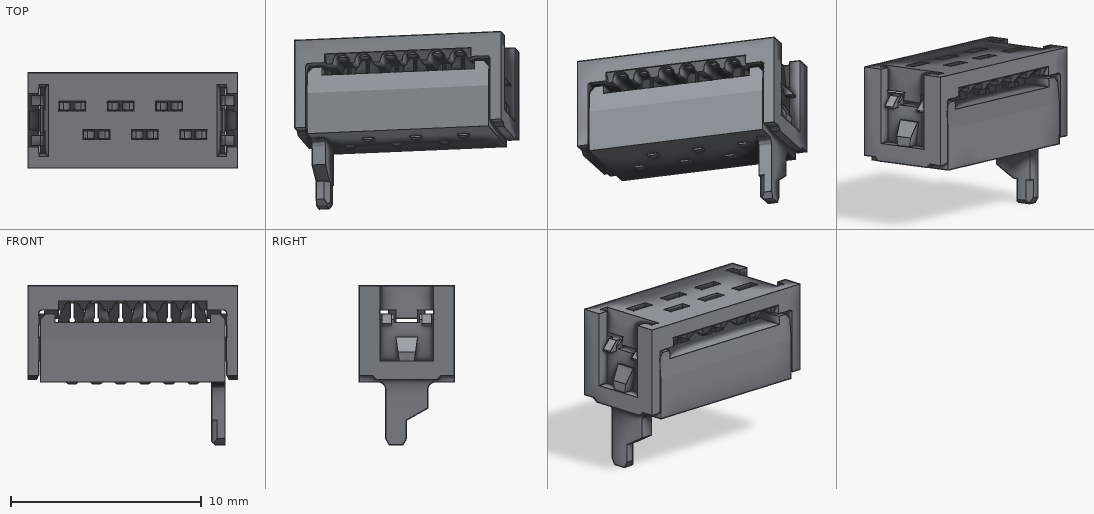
import cadquery as cq
import math


length = 11.0
width = 5.0
top_z = 5.05
peg_bottom_z = -3.3
half_length = length / 2
half_width = width / 2

pitch = 1.27
contact_count = 6
row_y = 0.75
contact_thickness = 0.39
contact_half_thickness = contact_thickness / 2

leg_inner_x = 4.915
leg_bottom_z = 0.14
leg_shoulder_z = 0.34
leg_tongue_half_width = 1.6
leg_chamfer_x = 0.13
leg_chamfer_z = 0.26
ceiling_z = 3.775
ceiling_corner_radius = 0.17
window_half_width = 1.41
window_bottom_z = 1.09
end_tongue_bottom_z = 3.34
end_tongue_half_width = 0.555
recess_half_length = 3.9
recess_top_z = 4.25
recess_ledge = 0.08
recess_slope_run = 0.275
end_slot_top_x = 4.415
end_slot_top_half_width = 1.89
end_slot_inner_x = 4.605
end_slot_inner_half_width = 1.72
contact_slot_length = 1.4
contact_slot_width = 0.52
groove_radius = 0.445
groove_lip_radius = 0.14
groove_shift = 0.1
groove_inner_top_z = 4.146
groove_inner_half_length = 1.9

base_half_length = 4.84
base_bend_z = 2.17
post_top_z = 3.57
post_top_half_width = 2.37
post_inner_x = 4.07
post_gap_half_width = 0.66
post_chamfer_x = 0.28
post_chamfer_z = 0.265
base_top_z = 3.13

guide_tip_x = 5.3
guide_root_x = 4.4
guide_near_y = 0.79
guide_far_y = 1.31
guide_bottom_z = 2.99
guide_nose_z = 3.067
catch_tip_x = 5.4
catch_ledge_x = 4.94
catch_top_z = 2.36
catch_nose_z = 1.57
catch_top_half_width = 0.57
catch_bottom_half_width = 0.39

blade_foot_half = 0.74
blade_waist_half = 0.575
blade_shoulder_half = 0.67
blade_shoulder_z = 4.69
blade_ridge_x = 0.46
blade_ridge_z = 4.78
blade_throat_z = 4.3
wire_slot_width = 0.19
wire_hole_radius = 0.17
wire_hole_z = 3.25
lead_in_bulge = 0.08
shoulder_bulge = 0.025
tail_root_half = 0.31
tail_tip_half = 0.2
tail_length = 0.1

peg_inner_x = 4.13
peg_half_width = 1.105
peg_root_radius = 0.4
peg_slope_start_z = -1.37
pin_top_z = -2.0
pin_inner_y = -0.015
pin_tip_inset = 0.19
pin_tip_height = 0.33
pin_edge_x = 0.29
pin_edge_y = 0.26
pin_tip_chamfer = 0.2


def box(x0, x1, y0, y1, z0, z1):
    return cq.Workplane("XY").box(x1 - x0, y1 - y0, z1 - z0, centered=False).translate((x0, y0, z0))


def extrude_y(points, y0, y1):
    """Closed XZ outline extruded from y0 to y1."""
    outline = cq.Workplane("XZ", origin=(0, y0, 0)).polyline(points).close()
    return outline.extrude(y0 - y1)


def extrude_x(points, x0, x1):
    """Closed YZ outline extruded from x0 to x1."""
    outline = cq.Workplane("YZ", origin=(x0, 0, 0)).polyline(points).close()
    return outline.extrude(x1 - x0)


def both_ends(feature):
    """The feature together with its mirror image on the other end of the connector."""
    return feature.union(feature.mirror("YZ"))


def both_sides(feature):
    """The feature together with its mirror image on the other long side."""
    return feature.union(feature.mirror("XZ"))


def contact_x(index):
    return (index - (contact_count - 1) / 2) * pitch


def contact_y(index):
    """Contacts alternate between the rear and the front row."""
    return row_y if index % 2 == 0 else -row_y


def cover_opening():
    """Space between the end legs, with rounded upper corners."""
    opening = box(-leg_inner_x, leg_inner_x, -half_width, half_width, 0, ceiling_z)
    opening = opening.edges("|Y and >Z").fillet(ceiling_corner_radius)
    chamfer = extrude_y(
        [
            (leg_inner_x, leg_bottom_z + leg_chamfer_z),
            (leg_inner_x, leg_bottom_z),
            (leg_inner_x + leg_chamfer_x, leg_bottom_z),
        ],
        -half_width,
        half_width,
    )
    return opening.union(both_ends(chamfer))


def slot_outline(inner_x, half_y):
    """Corners of an end slot between the -X leg and the given inner wall."""
    return [(-leg_inner_x, -half_y), (-inner_x, -half_y), (-inner_x, half_y), (-leg_inner_x, half_y)]


def end_slot():
    """Slot beside the -X leg; its inner and end walls lean in towards the bottom."""
    taper = (top_z - end_tongue_bottom_z) / (top_z - ceiling_z)
    bottom_x = end_slot_top_x + taper * (end_slot_inner_x - end_slot_top_x)
    end_lean = end_slot_top_half_width - end_slot_inner_half_width
    bottom_half_width = end_slot_top_half_width - taper * end_lean

    slot_height = top_z - end_tongue_bottom_z
    lower = cq.Workplane("XY", origin=(0, 0, end_tongue_bottom_z)).polyline(
        slot_outline(bottom_x, bottom_half_width)
    ).close()
    upper = lower.workplane(offset=slot_height).polyline(
        slot_outline(end_slot_top_x, end_slot_top_half_width)
    ).close()
    return upper.loft(ruled=True)


def wire_groove(index):
    """Groove along Y in the cover ceiling, with rounded lips and a lower roof in the middle."""
    shift = 0 if index % 2 == 0 else -groove_shift
    centre_x = contact_x(index) + shift
    centre_z = recess_top_z - groove_radius
    lip_z = ceiling_z + groove_lip_radius
    angle = math.asin((lip_z - centre_z) / (groove_radius + groove_lip_radius))
    lip_x = (groove_radius + groove_lip_radius) * math.cos(angle)
    join_x = groove_radius * math.cos(angle)
    join_z = centre_z + groove_radius * math.sin(angle)
    mid_angle = math.pi + (angle + math.pi / 2) / 2
    mid_x = lip_x + groove_lip_radius * math.cos(mid_angle)
    mid_z = lip_z + groove_lip_radius * math.sin(mid_angle)
    groove = (
        cq.Workplane("XZ", origin=(centre_x, half_width, 0))
        .moveTo(-lip_x, ceiling_z)
        .threePointArc((-mid_x, mid_z), (-join_x, join_z))
        .threePointArc((0, recess_top_z), (join_x, join_z))
        .threePointArc((mid_x, mid_z), (lip_x, ceiling_z))
        .close()
        .extrude(width)
    )
    roof = box(
        centre_x - groove_radius,
        centre_x + groove_radius,
        -groove_inner_half_length,
        groove_inner_half_length,
        groove_inner_top_z,
        top_z,
    )
    return groove.cut(roof)


def make_cover():
    cover = box(-half_length, half_length, -half_width, half_width, leg_bottom_z, top_z)
    cover = cover.cut(cover_opening())

    tongue = box(
        -leg_inner_x,
        -recess_half_length,
        -end_tongue_half_width,
        end_tongue_half_width,
        end_tongue_bottom_z,
        ceiling_z,
    )
    cover = cover.union(both_ends(tongue)).cut(both_ends(end_slot()))

    window = box(-half_length, -leg_inner_x, -window_half_width, window_half_width, window_bottom_z, top_z)
    cover = cover.cut(both_ends(window))

    leg_corner = extrude_x(
        [
            (half_width, leg_bottom_z),
            (leg_tongue_half_width, leg_bottom_z),
            (leg_tongue_half_width + leg_shoulder_z - leg_bottom_z, leg_shoulder_z),
            (half_width, leg_shoulder_z),
        ],
        -half_length,
        half_length,
    )
    cover = cover.cut(both_sides(leg_corner))

    recess = extrude_x(
        [
            (half_width, ceiling_z),
            (half_width - recess_ledge - recess_slope_run, ceiling_z),
            (half_width - recess_ledge, recess_top_z),
            (half_width, recess_top_z),
        ],
        -recess_half_length,
        recess_half_length,
    )
    cover = cover.cut(both_sides(recess))

    slot = cq.Workplane("XY").box(
        contact_slot_length, contact_slot_width, top_z, centered=(True, True, False)
    )
    for index in range(contact_count):
        cover = cover.cut(wire_groove(index))
        cover = cover.cut(slot.translate((contact_x(index), contact_y(index), 0)))
    return cover


def guide():
    """Sloped lug on the -X end, at +Y, just under the post top."""
    return extrude_y(
        [
            (-guide_root_x, guide_bottom_z),
            (-guide_tip_x, guide_bottom_z),
            (-guide_tip_x, guide_nose_z),
            (-base_half_length, post_top_z),
            (-guide_root_x, post_top_z),
        ],
        guide_near_y,
        guide_far_y,
    )


def catch():
    """Wedge on the -X end that narrows downwards and rests on the sill of the cover window."""
    wedge = extrude_y(
        [
            (-base_half_length, window_bottom_z),
            (-catch_tip_x, window_bottom_z),
            (-catch_tip_x, catch_nose_z),
            (-catch_ledge_x, catch_top_z),
            (-base_half_length, catch_top_z),
        ],
        -catch_top_half_width,
        catch_top_half_width,
    )
    flanks = extrude_x(
        [
            (-catch_bottom_half_width, window_bottom_z),
            (catch_bottom_half_width, window_bottom_z),
            (catch_top_half_width, catch_top_z),
            (-catch_top_half_width, catch_top_z),
        ],
        -catch_tip_x,
        -base_half_length,
    )
    return wedge.intersect(flanks)


def make_base():
    base = extrude_x(
        [
            (-half_width, 0),
            (half_width, 0),
            (half_width, base_bend_z),
            (post_top_half_width, post_top_z),
            (-post_top_half_width, post_top_z),
            (-half_width, base_bend_z),
        ],
        -base_half_length,
        base_half_length,
    )
    base = base.edges("|Y and >Z").chamfer(post_chamfer_z, post_chamfer_x)
    base = base.cut(box(-post_inner_x, post_inner_x, -half_width, half_width, base_top_z, post_top_z))
    post_gap = box(
        -base_half_length,
        base_half_length,
        -post_gap_half_width,
        post_gap_half_width,
        base_top_z,
        post_top_z,
    )
    base = base.cut(post_gap)
    return base.union(both_ends(both_sides(guide()))).union(both_ends(catch()))


def bulged(start, end, bulge):
    """Point that bows an arc from start to end upwards by the given amount."""
    run = end[0] - start[0]
    rise = end[1] - start[1]
    chord = math.hypot(run, rise)
    return ((start[0] + end[0]) / 2 - bulge * rise / chord, (start[1] + end[1]) / 2 + bulge * run / chord)


def contact_blade():
    """Forked blade centred on X = 0, Y = 0, with rounded prong tips and a wire slot."""
    left_throat = (-wire_slot_width / 2, blade_throat_z)
    left_ridge = (-blade_ridge_x, blade_ridge_z)
    left_shoulder = (-blade_shoulder_half, blade_shoulder_z)
    prong = (
        cq.Workplane("XZ", origin=(0, contact_half_thickness, 0))
        .moveTo(0, 0)
        .lineTo(-blade_foot_half, 0)
        .lineTo(-blade_foot_half, base_top_z)
        .lineTo(-blade_waist_half, ceiling_z)
        .lineTo(*left_shoulder)
        .threePointArc(bulged(left_shoulder, left_ridge, shoulder_bulge), left_ridge)
        .threePointArc(bulged(left_ridge, left_throat, lead_in_bulge), left_throat)
        .lineTo(0, blade_throat_z)
        .close()
        .extrude(contact_thickness)
    )
    blade = both_ends(prong)
    wire_slot = box(
        -wire_slot_width / 2,
        wire_slot_width / 2,
        -contact_half_thickness,
        contact_half_thickness,
        wire_hole_z,
        top_z,
    )
    wire_hole = (
        cq.Workplane("XZ", origin=(0, contact_half_thickness, wire_hole_z))
        .circle(wire_hole_radius)
        .extrude(contact_thickness)
    )
    return blade.cut(wire_slot).cut(wire_hole)


def contact_tail():
    """Short tapered foot below the base."""
    return extrude_y(
        [
            (-tail_root_half, 0),
            (-tail_tip_half, -tail_length),
            (tail_tip_half, -tail_length),
            (tail_root_half, 0),
        ],
        -contact_half_thickness,
        contact_half_thickness,
    )


def make_peg():
    """Board peg at the +X end: a flared plate that steps down to a chamfered pin."""
    flare_half = peg_half_width + peg_root_radius
    arc_inset = peg_root_radius * (1 - math.sqrt(0.5))
    plate = (
        cq.Workplane("YZ", origin=(peg_inner_x, 0, 0))
        .moveTo(-flare_half, 0)
        .lineTo(flare_half, 0)
        .threePointArc((peg_half_width + arc_inset, -arc_inset), (peg_half_width, -peg_root_radius))
        .lineTo(peg_half_width, peg_slope_start_z)
        .lineTo(pin_inner_y, pin_top_z)
        .lineTo(-peg_half_width, pin_top_z)
        .lineTo(-peg_half_width, -peg_root_radius)
        .threePointArc((-peg_half_width - arc_inset, -arc_inset), (-flare_half, 0))
        .close()
        .extrude(base_half_length - peg_inner_x)
    )
    pin_side_end_z = peg_bottom_z + pin_tip_height
    pin = extrude_x(
        [
            (pin_inner_y, pin_top_z),
            (pin_inner_y, pin_side_end_z),
            (pin_inner_y - pin_tip_inset, peg_bottom_z),
            (-peg_half_width + pin_tip_inset, peg_bottom_z),
            (-peg_half_width, pin_side_end_z),
            (-peg_half_width, pin_top_z),
        ],
        peg_inner_x,
        base_half_length,
    )
    bevelled_section = (
        cq.Workplane("XY", origin=(0, 0, peg_bottom_z))
        .moveTo(base_half_length, pin_inner_y)
        .lineTo(peg_inner_x + pin_edge_x, pin_inner_y)
        .lineTo(peg_inner_x, pin_inner_y - pin_edge_y)
        .lineTo(peg_inner_x, -peg_half_width + pin_edge_y)
        .lineTo(peg_inner_x + pin_edge_x, -peg_half_width)
        .lineTo(base_half_length, -peg_half_width)
        .close()
        .extrude(pin_top_z - peg_bottom_z)
    )
    tip_bevel = extrude_y(
        [
            (peg_inner_x, peg_bottom_z),
            (peg_inner_x + pin_tip_chamfer, peg_bottom_z),
            (peg_inner_x, peg_bottom_z + pin_tip_chamfer),
        ],
        -peg_half_width,
        pin_inner_y,
    )
    return plate.union(pin.intersect(bevelled_section).cut(tip_bevel))


connector = make_base().union(make_peg())
for number in range(contact_count):
    place = (contact_x(number), contact_y(number), 0)
    connector = connector.union(contact_blade().translate(place))
    connector = connector.union(contact_tail().translate(place))

result = connector.union(make_cover())